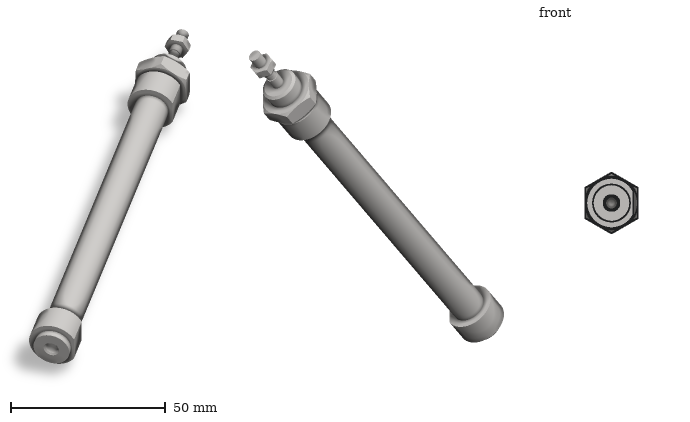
import cadquery as cq
import math

OVERALL_LENGTH = 156.0

TUBE_DIAMETER = 11.2
BOSS_DIAMETER = 12.0
COVER_DIAMETER = 16.2
COVER_FLAT_OFFSET = 7.0
COVER_LENGTH = 9.0
REAR_BOSS_LENGTH = 2.2
FRONT_COVER_END = 128.0
NECK_END = 140.0
NECK_CHAMFER_LENGTH = 0.6
NECK_CHAMFER_DEPTH = 1.0

REAR_HOLE_DIAMETER = 4.0
REAR_HOLE_DEPTH = 4.7
DRILL_POINT_ANGLE = 118.0
COUNTERSINK_DIAMETER = 5.1

ROD_DIAMETER = 4.0
ROD_GROOVE_DIAMETER = 3.5
ROD_GROOVE_START = 144.1
ROD_GROOVE_END = 146.0
ROD_START = FRONT_COVER_END - COVER_LENGTH

MOUNTING_NUT_FLATS = 17.0
MOUNTING_NUT_START = 129.5
MOUNTING_NUT_LENGTH = 5.3
ROD_NUT_FLATS = 7.0
ROD_NUT_START = 148.7
ROD_NUT_LENGTH = 3.0
NUT_CHAMFER_ANGLE = 30.0


def cylinder(diameter, start, end):
    """Solid cylinder on the Y axis from Y = start to Y = end."""
    plane = cq.Workplane("XZ", origin=(0, start, 0))
    return plane.circle(diameter / 2).extrude(start - end)


def revolved(profile):
    """Turn a closed (radius, Y) profile around the Y axis."""
    return cq.Workplane("XY").polyline(profile).close().revolve(360, (0, 0, 0), (0, 1, 0))


def make_cover(start):
    """Round end cover with one flat on the +X side."""
    cover = cylinder(COVER_DIAMETER, start, start + COVER_LENGTH)
    radius = COVER_DIAMETER / 2
    keep_width = radius + COVER_FLAT_OFFSET
    keep = cq.Workplane("XY").box(keep_width, COVER_LENGTH, COVER_DIAMETER).translate(
        (COVER_FLAT_OFFSET - keep_width / 2, start + COVER_LENGTH / 2, 0)
    )
    return cover.intersect(keep)


def make_rear_hole():
    """Drilled hole with a conical bottom and a 45 degree countersink."""
    hole_radius = REAR_HOLE_DIAMETER / 2
    sink_radius = COUNTERSINK_DIAMETER / 2
    point_length = hole_radius / math.tan(math.radians(DRILL_POINT_ANGLE / 2))
    return revolved([
        (0, 0),
        (sink_radius, 0),
        (hole_radius, sink_radius - hole_radius),
        (hole_radius, REAR_HOLE_DEPTH),
        (0, REAR_HOLE_DEPTH + point_length),
    ])


def make_neck():
    """Threaded neck, shown plain, with a chamfered front edge."""
    radius = BOSS_DIAMETER / 2
    return revolved([
        (0, FRONT_COVER_END),
        (radius, FRONT_COVER_END),
        (radius, NECK_END - NECK_CHAMFER_LENGTH),
        (radius - NECK_CHAMFER_DEPTH, NECK_END),
        (0, NECK_END),
    ])


def make_housing():
    """Rear boss, both covers, tube and neck in one body, bored for the rod."""
    front_cover_start = FRONT_COVER_END - COVER_LENGTH
    rear_cover_end = REAR_BOSS_LENGTH + COVER_LENGTH
    body = cylinder(BOSS_DIAMETER, 0, REAR_BOSS_LENGTH)
    body = body.union(make_cover(REAR_BOSS_LENGTH))
    body = body.union(cylinder(TUBE_DIAMETER, rear_cover_end, front_cover_start))
    body = body.union(make_cover(front_cover_start))
    body = body.union(make_neck())
    body = body.cut(make_rear_hole())
    return body.cut(cylinder(ROD_DIAMETER, ROD_START, NECK_END))


def make_rod():
    """Piston rod with a turned groove."""
    rod = cylinder(ROD_DIAMETER, ROD_START, ROD_GROOVE_START)
    rod = rod.union(cylinder(ROD_GROOVE_DIAMETER, ROD_GROOVE_START, ROD_GROOVE_END))
    return rod.union(cylinder(ROD_DIAMETER, ROD_GROOVE_END, OVERALL_LENGTH))


def make_nut(flats, bore, start, length, corner_turn, chamfer_rear):
    """Hexagonal nut with its corners chamfered at the front, and also at the rear if asked.

    With corner_turn = 0 two corners lie along X; at 90 they lie along Z.
    """
    corner_radius = flats / 2 / math.cos(math.radians(30))
    chamfer = (corner_radius - flats / 2) * math.tan(math.radians(NUT_CHAMFER_ANGLE))
    end = start + length
    rear_radius = flats / 2 if chamfer_rear else corner_radius
    envelope = [(0, start), (rear_radius, start)]
    if chamfer_rear:
        envelope.append((corner_radius, start + chamfer))
    envelope += [(corner_radius, end - chamfer), (flats / 2, end), (0, end)]
    hexagon = cq.Workplane("XZ", origin=(0, start, 0)).polygon(6, 2 * corner_radius).extrude(-length)
    hexagon = hexagon.rotate((0, 0, 0), (0, 1, 0), corner_turn)
    return hexagon.intersect(revolved(envelope)).cut(cylinder(bore, start, end))


housing = make_housing()
rod = make_rod()
mounting_nut = make_nut(
    MOUNTING_NUT_FLATS, BOSS_DIAMETER, MOUNTING_NUT_START, MOUNTING_NUT_LENGTH,
    corner_turn=90, chamfer_rear=True,
)
rod_nut = make_nut(
    ROD_NUT_FLATS, ROD_DIAMETER, ROD_NUT_START, ROD_NUT_LENGTH,
    corner_turn=0, chamfer_rear=False,
)

result = cq.Compound.makeCompound([housing.val(), rod.val(), mounting_nut.val(), rod_nut.val()])